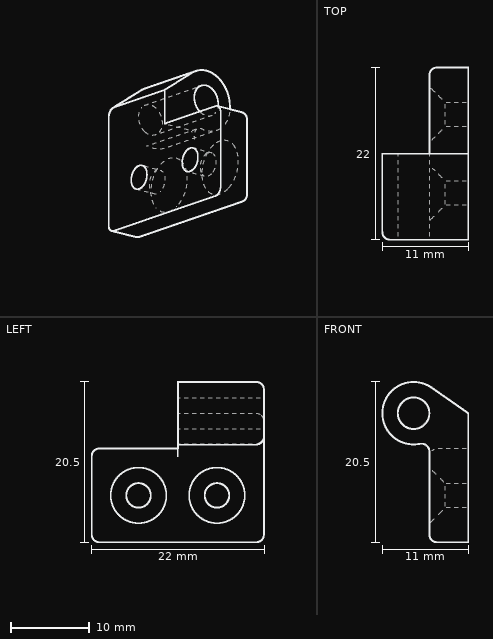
import cadquery as cq
import math

length = 22.0
width = 11.0
height = 20.48
plate_thickness = 5.0
plate_height = 12.0
barrel_length = length / 2
barrel_radius = 4.0
bore_diameter = 4.0
edge_radius = 1.0
neck_radius = 1.0
screw_diameter = 3.1
sink_diameter = 7.1
screw_inset = 6.0
screw_spacing = 10.0
screw_height = plate_height / 2

plate_front = width - plate_thickness
axis_x = barrel_radius
axis_z = height - barrel_radius
sink_depth = (sink_diameter - screw_diameter) / 2


def barrel_point(angle):
    """Point on the barrel's outer circle, angle measured from +X toward +Z."""
    return (axis_x + barrel_radius * math.cos(angle), axis_z + barrel_radius * math.sin(angle))


def knuckle_half():
    """Half of the leaf that carries the barrel, with its free end rounded."""
    slope_angle = math.acos(barrel_radius / (width - axis_x))
    neck_x = plate_front - neck_radius
    neck_drop = math.sqrt((barrel_radius + neck_radius) ** 2 - (neck_x - axis_x) ** 2)
    neck_z = axis_z - neck_drop
    neck_angle = math.atan2(-neck_drop, neck_x - axis_x)
    neck_mid_angle = (neck_angle + math.pi) / 2
    neck_mid = (
        neck_x + neck_radius * math.cos(neck_mid_angle),
        neck_z + neck_radius * math.sin(neck_mid_angle),
    )

    body = (
        cq.Workplane("XZ")
        .moveTo(width, 0)
        .lineTo(width, axis_z)
        .lineTo(*barrel_point(slope_angle))
        .threePointArc(barrel_point(math.pi), barrel_point(neck_angle))
        .threePointArc(neck_mid, (plate_front, neck_z))
        .lineTo(plate_front, 0)
        .close()
        .extrude(-barrel_length)
    )
    end_edges = body.faces("<Y").edges("not(>X)")
    bottom_front_edge = body.faces("<Z").edges("<X")
    return end_edges.add(bottom_front_edge).fillet(edge_radius)


def plain_half():
    """Half of the leaf without a barrel, rounded except at the mounting face and the joint."""
    body = cq.Workplane("XY").box(
        plate_thickness, length - barrel_length, plate_height, centered=False
    ).translate((plate_front, barrel_length, 0))
    end_edges = body.faces(">Y").edges("not(>X)")
    long_front_edges = body.faces("<X").edges("|Y")
    return end_edges.add(long_front_edges).fillet(edge_radius)


def bore():
    """Hinge pin hole through the barrel."""
    return (
        cq.Workplane("XZ")
        .center(axis_x, axis_z)
        .circle(bore_diameter / 2)
        .extrude(-barrel_length)
    )


def screw_hole(y):
    """Countersunk through hole entering from the plate's front face."""
    start = cq.Vector(plate_front, y, screw_height)
    inward = cq.Vector(1, 0, 0)
    shank = cq.Solid.makeCylinder(screw_diameter / 2, plate_thickness, start, inward)
    sink = cq.Solid.makeCone(sink_diameter / 2, screw_diameter / 2, sink_depth, start, inward)
    return shank.fuse(sink)


result = knuckle_half().union(plain_half()).cut(bore())
for index in range(2):
    result = result.cut(screw_hole(screw_inset + index * screw_spacing))